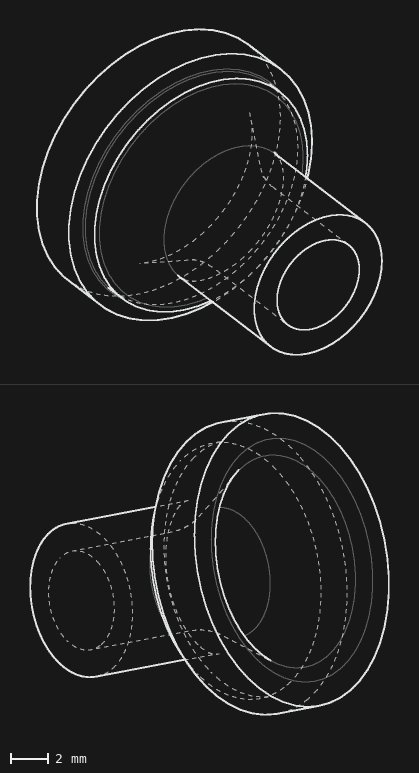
import cadquery as cq
import math

flange_diameter = 16.0
flange_thickness = 3.0
step_diameter = 14.0
step_end = 4.0
tube_diameter = 8.4
total_length = 15.0
neck_fillet = 2.5
step_fillet = 0.1

bore_diameter = 5.4
mouth_diameter = 13.28
mouth_round = 0.96
throat_round = 7.0
cone_half_angle = math.radians(28.5)

flange_radius = flange_diameter / 2
step_radius = step_diameter / 2
tube_radius = tube_diameter / 2
fillet_middle = math.radians(225)
bore_radius = bore_diameter / 2
mouth_radius = mouth_diameter / 2


def arc_point(center, radius, angle):
    """Point (axial, radial) on a circle, at an angle from the X axis."""
    return (center[0] + radius * math.cos(angle), center[1] + radius * math.sin(angle))


def make_body():
    """Solid flange, locating step with a small root fillet, neck and tube."""
    step_fillet_center = (flange_thickness + step_fillet, step_radius + step_fillet)
    neck_center = (step_end + neck_fillet, tube_radius + neck_fillet)
    return (
        cq.Workplane("XY")
        .moveTo(0, 0)
        .lineTo(0, flange_radius)
        .lineTo(flange_thickness, flange_radius)
        .lineTo(flange_thickness, step_fillet_center[1])
        .threePointArc(
            arc_point(step_fillet_center, step_fillet, fillet_middle),
            (step_fillet_center[0], step_radius),
        )
        .lineTo(step_end, step_radius)
        .lineTo(step_end, neck_center[1])
        .threePointArc(
            arc_point(neck_center, neck_fillet, fillet_middle),
            (neck_center[0], tube_radius),
        )
        .lineTo(total_length, tube_radius)
        .lineTo(total_length, 0)
        .close()
        .revolve(360, (0, 0, 0), (1, 0, 0))
    )


def make_passage():
    """Rounded mouth, cone and rounded throat leading into the bore."""
    mouth_center = (mouth_round, mouth_radius)
    cone_normal = -math.pi / 2 - cone_half_angle
    cone_start = arc_point(mouth_center, mouth_round, cone_normal)
    throat_radial = bore_radius + throat_round
    throat_edge = throat_radial + throat_round * math.sin(cone_normal)
    cone_length = (cone_start[1] - throat_edge) / math.tan(cone_half_angle)
    cone_end = (cone_start[0] + cone_length, throat_edge)
    throat_center = (cone_end[0] - throat_round * math.cos(cone_normal), throat_radial)
    return (
        cq.Workplane("XY")
        .moveTo(0, 0)
        .lineTo(0, mouth_radius)
        .threePointArc(
            arc_point(mouth_center, mouth_round, (cone_normal - math.pi) / 2),
            cone_start,
        )
        .lineTo(*cone_end)
        .threePointArc(
            arc_point(throat_center, throat_round, (cone_normal - math.pi / 2) / 2),
            (throat_center[0], bore_radius),
        )
        .lineTo(total_length, bore_radius)
        .lineTo(total_length, 0)
        .close()
        .revolve(360, (0, 0, 0), (1, 0, 0))
    )


result = make_body().cut(make_passage())